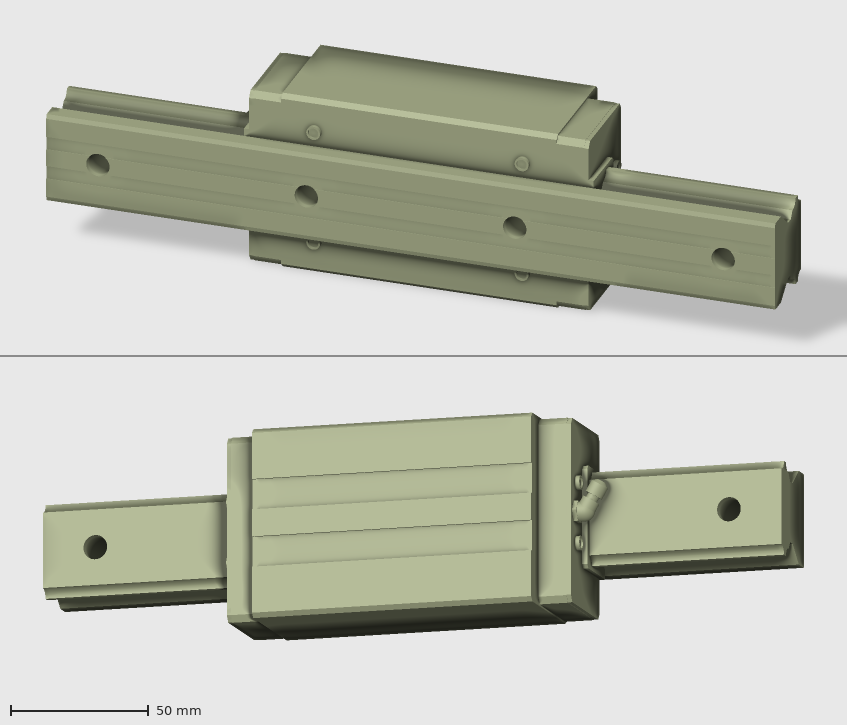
import cadquery as cq
import math


RAIL_LENGTH = 280.0
RAIL_HEIGHT = 28.8
RAIL_HALF_WIDTH = 17.5
RAIL_FOOT_CHAMFER = (0.5, 1.7)
RAIL_FOOT_HEIGHT = 6.7
RAIL_WAIST_HALF_WIDTH = 11.2
RAIL_WAIST_BOTTOM = 14.5
RAIL_WAIST_TOP = 17.5
BALL_GROOVE_RADIUS = 3.5
LOWER_GROOVE_AXIS_Y = 19.5
BASE_RELIEF_DEPTH = 0.3
BASE_RELIEF_INNER = 3.5
BASE_RELIEF_OUTER = 8.5
MOUNT_HOLE_DIAMETER = 9.0
MOUNT_HOLE_PITCH = 80.0
MOUNT_HOLE_COUNT = 4

CARRIAGE_BOTTOM = 9.2
CARRIAGE_TOP = 55.0
CARRIAGE_WIDTH = 70.0
BLOCK_LENGTH = 105.8
BLOCK_CHAMFER = (1.7, 1.7)
TOP_RECESS_DEPTH = 0.8
TOP_RECESS_WIDTH = 11.2
TOP_RECESS_OFFSET = 10.5
CAP_TOP = 45.5
CAP_WIDTH = 68.5
CAP_CHAMFER = (1.7, 2.5)
CAPS_LENGTH = 130.5
END_PLATE_THICKNESS = 1.7
END_PLATE_INSET = 0.15
SEAL_THICKNESS = 2.0
SEAL_TOP = 31.5
SEAL_WIDTH = 38.0
SEAL_CHAMFER = 1.5

HEAD_HEIGHT = 1.7
HEAD_RADIUS = 2.65
HEAD_SOCKET_RADIUS = 2.0
HEAD_SOCKET_DEPTH = 0.8
END_SCREW_Y = 38.0
END_SCREW_Z = 11.2
BASE_HEAD_Z = 22.0

NIPPLE_Y = 40.0
NIPPLE_FLANGE_CORNERS = 8.7
NIPPLE_FLANGE_THICKNESS = 1.7
NIPPLE_ELBOW_RADIUS = 3.5
NIPPLE_ELBOW_OFFSET = 3.5
NIPPLE_ARM_TILT = 60.0
NIPPLE_COLLAR_RADIUS = 3.5
NIPPLE_COLLAR_END = 4.8
NIPPLE_NECK_RADIUS = 2.2
NIPPLE_NECK_END = 6.7
NIPPLE_HEAD_RADIUS = 3.5
NIPPLE_TAPER_START = 11.2
NIPPLE_TIP_RADIUS = 1.7
NIPPLE_TIP = 12.5


def bar_along_x(length, bottom, top, width, chamfer):
    """Bar centred on X = 0 and Z = 0, its four long edges chamfered by (along Y, along Z)."""
    chamfer_y, chamfer_z = chamfer
    side = width / 2
    corners = [
        (bottom, chamfer_z - side),
        (bottom + chamfer_y, -side),
        (top - chamfer_y, -side),
        (top, chamfer_z - side),
        (top, side - chamfer_z),
        (top - chamfer_y, side),
        (bottom + chamfer_y, side),
        (bottom, side - chamfer_z),
    ]
    section = cq.Workplane("YZ", origin=(-length / 2, 0, 0)).polyline(corners).close()
    return section.extrude(length)


def rail_half_profile():
    """Half of the rail section on the +Z side, drawn as Y against Z."""
    foot_y, foot_z = RAIL_FOOT_CHAMFER
    groove_z = RAIL_HALF_WIDTH - BALL_GROOVE_RADIUS
    arc_offset = BALL_GROOVE_RADIUS * math.sqrt(0.5)
    lower_mid = (LOWER_GROOVE_AXIS_Y + arc_offset, RAIL_HALF_WIDTH - arc_offset)
    upper_mid = (RAIL_HEIGHT - arc_offset, RAIL_HALF_WIDTH - arc_offset)
    return (
        cq.Workplane("YZ", origin=(-RAIL_LENGTH / 2, 0, 0))
        .moveTo(0, 0)
        .lineTo(0, RAIL_HALF_WIDTH - foot_z)
        .lineTo(foot_y, RAIL_HALF_WIDTH)
        .lineTo(RAIL_FOOT_HEIGHT, RAIL_HALF_WIDTH)
        .lineTo(RAIL_WAIST_BOTTOM, RAIL_WAIST_HALF_WIDTH)
        .lineTo(RAIL_WAIST_TOP, RAIL_WAIST_HALF_WIDTH)
        .lineTo(LOWER_GROOVE_AXIS_Y, groove_z)
        .threePointArc(lower_mid, (LOWER_GROOVE_AXIS_Y + BALL_GROOVE_RADIUS, RAIL_HALF_WIDTH))
        .lineTo(RAIL_HEIGHT - BALL_GROOVE_RADIUS, RAIL_HALF_WIDTH)
        .threePointArc(upper_mid, (RAIL_HEIGHT, groove_z))
        .lineTo(RAIL_HEIGHT, 0)
        .close()
    )


def make_rail_bar():
    """Plain rail without base reliefs and mounting holes."""
    half = rail_half_profile().extrude(RAIL_LENGTH)
    return half.union(half.mirror("XY"))


def make_rail(rail_bar):
    """Rail with shallow reliefs along its base and a row of through holes."""
    relief_width = BASE_RELIEF_OUTER - BASE_RELIEF_INNER
    relief_middle = (BASE_RELIEF_OUTER + BASE_RELIEF_INNER) / 2
    rail = rail_bar
    for side in (-1, 1):
        relief = cq.Workplane("XY").box(RAIL_LENGTH, 2 * BASE_RELIEF_DEPTH, relief_width)
        rail = rail.cut(relief.translate((0, 0, side * relief_middle)))
    holes = (
        cq.Workplane("XZ")
        .rarray(MOUNT_HOLE_PITCH, 2.8, MOUNT_HOLE_COUNT, 1)
        .circle(MOUNT_HOLE_DIAMETER / 2)
        .extrude(-RAIL_HEIGHT)
    )
    return rail.cut(holes)


def make_head(base, outward):
    """Round head standing on a face at `base`, with a round socket in its outer end."""
    plane = cq.Plane(origin=base, xDir=(0, 0, 1), normal=outward)
    head = cq.Workplane(plane).circle(HEAD_RADIUS).extrude(HEAD_HEIGHT)
    socket = (
        cq.Workplane(plane)
        .workplane(offset=HEAD_HEIGHT - HEAD_SOCKET_DEPTH)
        .circle(HEAD_SOCKET_RADIUS)
        .extrude(HEAD_SOCKET_DEPTH)
    )
    return head.cut(socket)


def make_block():
    """Middle of the carriage, with two shallow recesses along its top."""
    block = bar_along_x(BLOCK_LENGTH, CARRIAGE_BOTTOM, CARRIAGE_TOP, CARRIAGE_WIDTH, BLOCK_CHAMFER)
    for side in (-1, 1):
        recess = cq.Workplane("XY").box(BLOCK_LENGTH, 2 * TOP_RECESS_DEPTH, TOP_RECESS_WIDTH)
        block = block.cut(recess.translate((0, CARRIAGE_TOP, side * TOP_RECESS_OFFSET)))
    return block


def make_ends():
    """End caps, end plates and end seals, each a bar running through the whole carriage."""
    caps = bar_along_x(
        CAPS_LENGTH - 2 * END_PLATE_THICKNESS, CARRIAGE_BOTTOM, CAP_TOP, CAP_WIDTH, CAP_CHAMFER
    )
    plate_top = CAP_TOP - END_PLATE_INSET
    plate_width = CAP_WIDTH - 2 * END_PLATE_INSET
    plates = bar_along_x(CAPS_LENGTH, CARRIAGE_BOTTOM, plate_top, plate_width, CAP_CHAMFER)
    seals = (
        cq.Workplane("XY")
        .box(CAPS_LENGTH + 2 * SEAL_THICKNESS, SEAL_TOP - CARRIAGE_BOTTOM, SEAL_WIDTH)
        .edges("|X and >Y")
        .chamfer(SEAL_CHAMFER)
        .translate((0, (SEAL_TOP + CARRIAGE_BOTTOM) / 2, 0))
    )
    return caps.union(plates).union(seals)


def make_carriage(rail_bar):
    """Carriage with its heads, opened to the exact section of the rail."""
    carriage = make_block().union(make_ends())
    for end in (-1, 1):
        for side in (-1, 1):
            end_face = (end * CAPS_LENGTH / 2, END_SCREW_Y, side * END_SCREW_Z)
            base_face = (end * MOUNT_HOLE_PITCH / 2, CARRIAGE_BOTTOM, side * BASE_HEAD_Z)
            carriage = carriage.union(make_head(end_face, (end, 0, 0)))
            carriage = carriage.union(make_head(base_face, (0, -1, 0)))
    return carriage.cut(rail_bar)


def make_nipple_arm():
    """Turned arm of the nipple about the Z axis: collar, neck and tapered head."""
    return (
        cq.Workplane("XZ")
        .moveTo(0, 0)
        .lineTo(NIPPLE_COLLAR_RADIUS, 0)
        .lineTo(NIPPLE_COLLAR_RADIUS, NIPPLE_COLLAR_END)
        .lineTo(NIPPLE_NECK_RADIUS, NIPPLE_COLLAR_END)
        .lineTo(NIPPLE_NECK_RADIUS, NIPPLE_NECK_END)
        .lineTo(NIPPLE_HEAD_RADIUS, NIPPLE_NECK_END)
        .lineTo(NIPPLE_HEAD_RADIUS, NIPPLE_TAPER_START)
        .lineTo(NIPPLE_TIP_RADIUS, NIPPLE_TIP)
        .lineTo(0, NIPPLE_TIP)
        .close()
        .revolve(360, (0, 0), (0, 1))
    )


def make_nipple():
    """Angled grease nipple on the -X end plate: hexagonal flange, stem, ball elbow and arm."""
    end_face_x = -CAPS_LENGTH / 2
    end_face = cq.Workplane("YZ", origin=(end_face_x, NIPPLE_Y, 0))
    flange = end_face.polygon(6, NIPPLE_FLANGE_CORNERS).extrude(-NIPPLE_FLANGE_THICKNESS)
    stem = end_face.circle(NIPPLE_ELBOW_RADIUS).extrude(-NIPPLE_ELBOW_OFFSET)
    elbow = cq.Workplane("XY").sphere(NIPPLE_ELBOW_RADIUS)
    arm = make_nipple_arm().rotate((0, 0, 0), (0, 1, 0), NIPPLE_ARM_TILT - 90)
    elbow_and_arm = elbow.union(arm).translate((end_face_x - NIPPLE_ELBOW_OFFSET, NIPPLE_Y, 0))
    return flange.union(stem).union(elbow_and_arm)


rail_bar = make_rail_bar()
rail = make_rail(rail_bar)
carriage = make_carriage(rail_bar)
nipple = make_nipple()

result = cq.Compound.makeCompound([rail.solids().val(), carriage.solids().val(), nipple.solids().val()])